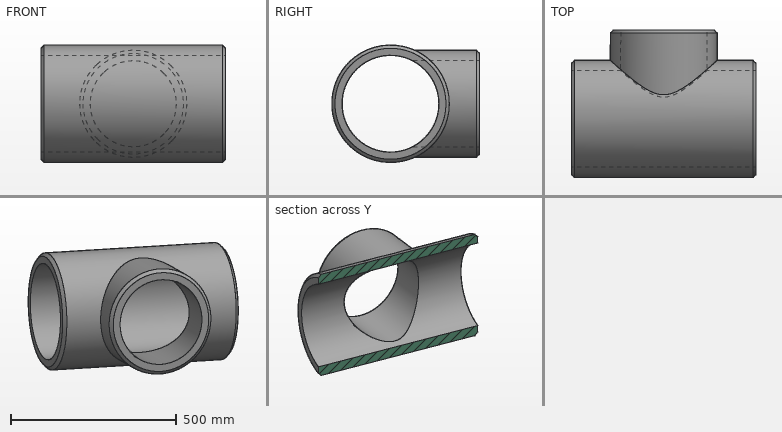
import cadquery as cq

wall = 31.75

run_length = 558.8
run_outer_diameter = 355.6
run_bore_diameter = run_outer_diameter - 2 * wall

branch_reach = 269.75
branch_outer_diameter = 323.85
branch_bore_diameter = branch_outer_diameter - 2 * wall

bevel = 10.0


def cylinder_along_x(diameter, length):
    """Cylinder on the X axis, centred on the origin."""
    return cq.Workplane("YZ").circle(diameter / 2).extrude(length / 2, both=True)


def cylinder_along_y(diameter, length):
    """Cylinder from the origin toward +Y."""
    return cq.Workplane("XZ").circle(diameter / 2).extrude(-length)


def make_outer_body():
    """Solid tee with its three open ends bevelled."""
    run = cylinder_along_x(run_outer_diameter, run_length).edges("%CIRCLE").chamfer(bevel)
    branch = cylinder_along_y(branch_outer_diameter, branch_reach).faces(">Y").edges().chamfer(bevel)
    return run.union(branch)


def make_bores():
    """Through bore of the run joined to the bore of the branch."""
    run_bore = cylinder_along_x(run_bore_diameter, run_length)
    branch_bore = cylinder_along_y(branch_bore_diameter, branch_reach)
    return run_bore.union(branch_bore)


result = make_outer_body().cut(make_bores())